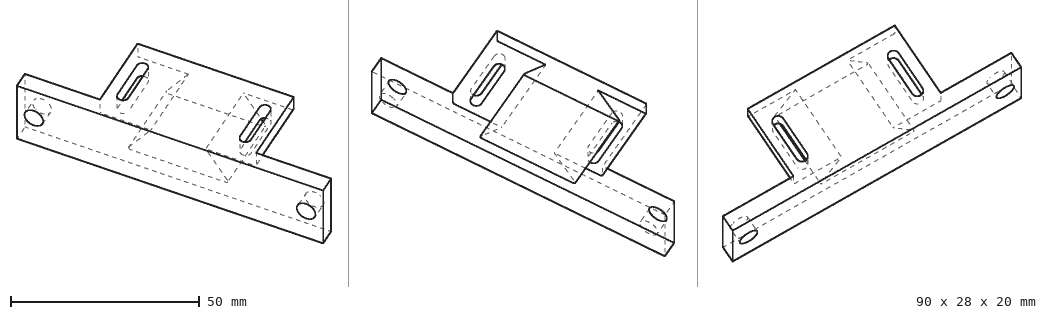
import cadquery as cq
import math

flange_length = 90.0
flange_thickness = 4.95
flange_height = 20.0
bolt_hole_diameter = 5.5
bolt_hole_spacing = 80.0

total_depth = 28.0
shelf_width = 45.9
shelf_thickness = 4.95
slot_spacing = 36.0
slot_length = 15.0
slot_width = 3.15
slot_center_y = 14.7

rail_bottom_z = 5.0
rail_bottom_width = 30.15
rail_side_angle = 55.0

edge_radius = 0.5

shelf_bottom_z = flange_height - shelf_thickness
shelf_depth = total_depth - flange_thickness


def make_flange():
    """Plate with its front face at Y = 0 and one bolt hole near each end."""
    plate = cq.Workplane("XY").box(
        flange_length, flange_thickness, flange_height, centered=(True, False, False)
    )
    return (
        plate.faces("<Y").workplane(centerOption="CenterOfBoundBox")
        .pushPoints([(-bolt_hole_spacing / 2, 0), (bolt_hole_spacing / 2, 0)])
        .hole(bolt_hole_diameter)
    )


def make_shelf():
    """Horizontal plate behind the flange, rounded along its lower side edges."""
    return (
        cq.Workplane("XY", origin=(0, flange_thickness, shelf_bottom_z))
        .box(shelf_width, shelf_depth, shelf_thickness, centered=(True, False, False))
        .edges("|Y and <Z").fillet(edge_radius)
    )


def make_rail():
    """Solid dovetail running the full depth of the shelf."""
    rail_height = shelf_bottom_z - rail_bottom_z
    side_inset = rail_height / math.tan(math.radians(rail_side_angle))
    half_bottom = rail_bottom_width / 2
    half_top = half_bottom - side_inset
    return (
        cq.Workplane("XZ", origin=(0, flange_thickness, 0))
        .moveTo(-half_bottom, rail_bottom_z)
        .lineTo(half_bottom, rail_bottom_z)
        .lineTo(half_top, shelf_bottom_z)
        .lineTo(-half_top, shelf_bottom_z)
        .close()
        .extrude(-shelf_depth)
        .edges("|Y and <Z").fillet(edge_radius)
    )


def make_slots():
    """Cutters for the two adjustment slots, long in Y."""
    return (
        cq.Workplane("XY", origin=(0, slot_center_y, shelf_bottom_z))
        .pushPoints([(-slot_spacing / 2, 0), (slot_spacing / 2, 0)])
        .slot2D(slot_length, slot_width, 90)
        .extrude(shelf_thickness)
    )


result = make_flange().union(make_shelf()).union(make_rail()).cut(make_slots())